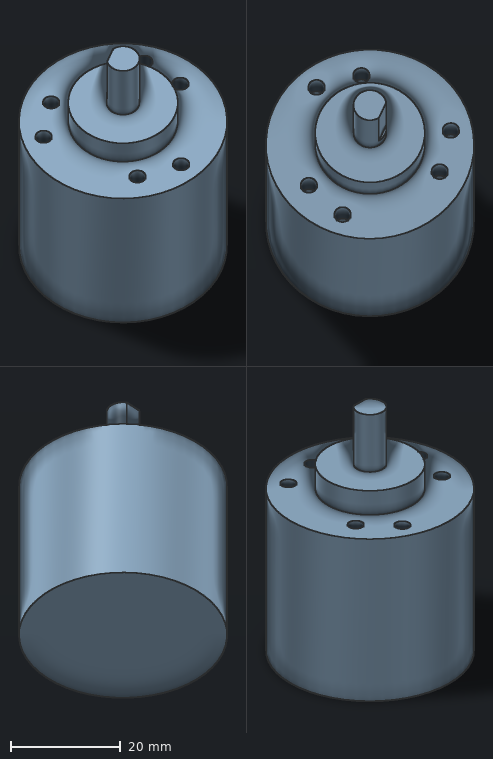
import cadquery as cq

total_height = 51.0

body_diameter = 38.0
body_height = 33.95

boss_diameter = 20.0
boss_height = 5.05

shaft_diameter = 6.0
shaft_height = total_height - body_height - boss_height
flat_length = 10.0
flat_offset = 2.5

hole_diameter = 3.0
hole_depth = 5.0
holes_per_set = 3
inner_circle_radius = 13.85
inner_start_angle = 60
outer_circle_radius = 15.0
outer_start_angle = 94


def make_shaft():
    """D-shaft standing on Z = 0, round at its foot and flattened above."""
    shaft = cq.Workplane("XY").circle(shaft_diameter / 2).extrude(shaft_height)
    flat_cutter = (
        cq.Workplane("XY")
        .box(shaft_diameter, shaft_diameter, flat_length, centered=(False, True, False))
        .translate((-flat_offset - shaft_diameter, 0, shaft_height - flat_length))
    )
    return shaft.cut(flat_cutter)


def make_hole_set(circle_radius, start_angle):
    """Equally spaced hole cutters reaching down from the housing top face."""
    return (
        cq.Workplane("XY")
        .workplane(offset=body_height)
        .polarArray(circle_radius, start_angle, 360, holes_per_set)
        .circle(hole_diameter / 2)
        .extrude(-hole_depth)
    )


body = cq.Workplane("XY").circle(body_diameter / 2).extrude(body_height)
body = body.cut(make_hole_set(inner_circle_radius, inner_start_angle))
body = body.cut(make_hole_set(outer_circle_radius, outer_start_angle))

boss = (
    cq.Workplane("XY")
    .workplane(offset=body_height)
    .circle(boss_diameter / 2)
    .extrude(boss_height)
)

shaft = make_shaft().translate((0, 0, body_height + boss_height))

result = body.union(boss).union(shaft)